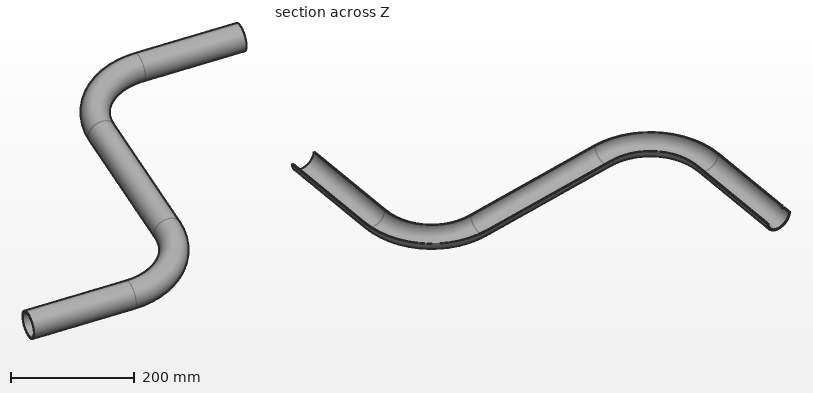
import cadquery as cq

outer_diameter = 48.0
bore_diameter = 42.0

overall_width = 548.5
overall_length = 600.0
bend_radius = 120.0
end_x = (overall_width - outer_diameter) / 2
end_y = overall_length / 2
middle_half_length = end_x - bend_radius

hole_diameter = 6.0
hole_end_distance = 16.0


def swept_rod(diameter):
    """Solid round rod following the tube centreline."""
    centreline = (
        cq.Workplane("XY")
        .moveTo(-end_x, end_y)
        .lineTo(-end_x, bend_radius)
        .radiusArc((-middle_half_length, 0), -bend_radius)
        .lineTo(middle_half_length, 0)
        .radiusArc((end_x, -bend_radius), bend_radius)
        .lineTo(end_x, -end_y)
    )
    section = cq.Workplane("XZ", origin=(-end_x, end_y, 0)).circle(diameter / 2)
    return section.sweep(centreline)


def wall_hole():
    """Drill from the -X side into the bore, piercing one wall only."""
    start = (-end_x - outer_diameter / 2, end_y - hole_end_distance, 0)
    return cq.Workplane("YZ", origin=start).circle(hole_diameter / 2).extrude(outer_diameter / 2)


tube = swept_rod(outer_diameter).cut(swept_rod(bore_diameter))
result = tube.cut(wall_hole())